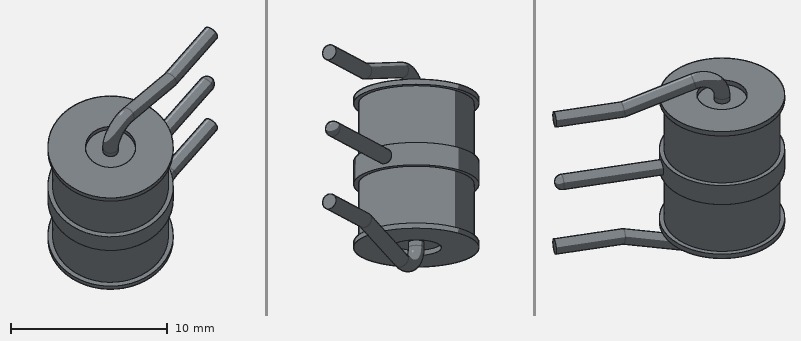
import cadquery as cq
import math

BODY_HEIGHT = 10.0
FLANGE_DIAMETER = 8.0
FLANGE_THICKNESS = 0.35
CORE_DIAMETER = 7.4
BAND_HEIGHT = 1.5
RECESS_DIAMETER = 3.2
RECESS_DEPTH = FLANGE_THICKNESS

LEAD_DIAMETER = 1.0
LEAD_END_Y = 11.0
BEND_RADIUS = 1.45
KNEE_Y = 6.5

HALF_HEIGHT = BODY_HEIGHT / 2
LEAD_RADIUS = LEAD_DIAMETER / 2


def disc(diameter, bottom_z, height):
    """Cylinder on the Z axis, standing on bottom_z."""
    return cq.Workplane("XY", origin=(0, 0, bottom_z)).circle(diameter / 2).extrude(height)


def make_body():
    """Core with a flange at each end, a raised middle band and a recess in each end face."""
    body = disc(CORE_DIAMETER, -HALF_HEIGHT, BODY_HEIGHT)
    body = body.union(disc(FLANGE_DIAMETER, -BAND_HEIGHT / 2, BAND_HEIGHT))
    for flange_z in (-HALF_HEIGHT, HALF_HEIGHT - FLANGE_THICKNESS):
        body = body.union(disc(FLANGE_DIAMETER, flange_z, FLANGE_THICKNESS))
    for recess_z in (-HALF_HEIGHT, HALF_HEIGHT - RECESS_DEPTH):
        body = body.cut(disc(RECESS_DIAMETER, recess_z, RECESS_DEPTH))
    return body


def make_top_lead():
    """Wire rising from the recess floor, bent over towards +Y, then levelled at the end-face height."""
    slope = math.asin(BEND_RADIUS / (KNEE_Y - BEND_RADIUS))
    bend_end = (
        BEND_RADIUS * (1 + math.sin(slope)),
        HALF_HEIGHT + BEND_RADIUS * math.cos(slope),
    )
    half_turn = (math.pi / 2 + slope) / 2
    bend_middle = (
        BEND_RADIUS * (1 - math.cos(half_turn)),
        HALF_HEIGHT + BEND_RADIUS * math.sin(half_turn),
    )
    recess_floor_z = HALF_HEIGHT - RECESS_DEPTH
    path = (
        cq.Workplane("YZ")
        .moveTo(0, recess_floor_z)
        .lineTo(0, HALF_HEIGHT)
        .threePointArc(bend_middle, bend_end)
        .lineTo(KNEE_Y, HALF_HEIGHT)
        .lineTo(LEAD_END_Y, HALF_HEIGHT)
    )
    start = cq.Workplane("XY", origin=(0, 0, recess_floor_z))
    return start.circle(LEAD_RADIUS).sweep(path, transition="right")


def make_middle_lead():
    """Straight wire from the body axis along +Y, with a hemispherical tip."""
    tip_centre_y = LEAD_END_Y - LEAD_RADIUS
    wire = cq.Workplane("XZ").circle(LEAD_RADIUS).extrude(-tip_centre_y)
    tip = cq.Workplane("XY", origin=(0, tip_centre_y, 0)).sphere(LEAD_RADIUS)
    return wire.union(tip)


top_lead = make_top_lead()
bottom_lead = top_lead.mirror("XY")
result = make_body().union(top_lead).union(bottom_lead).union(make_middle_lead())